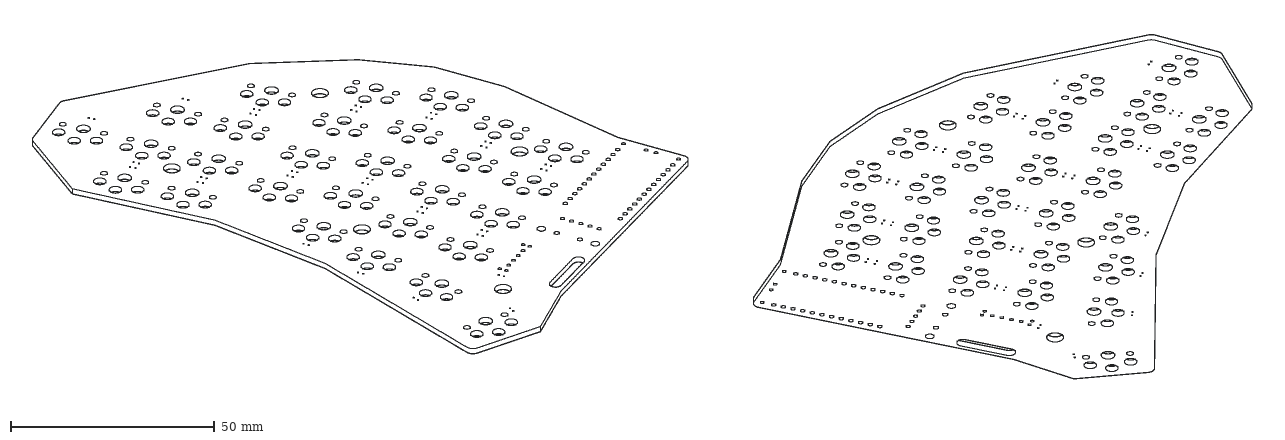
import cadquery as cq
import math

LENGTH = 152.4
THICKNESS = 1.5
CORNER_RADIUS = 2.0
LEFT_ROUNDING_LOSS = 0.08

LEFT_CORNER = (-LENGTH / 2 - LEFT_ROUNDING_LOSS, -0.9)
CONTROLLER_CORNER = (73.2, 47.5)
THUMB_CORNER = (66.1, -56.0)
LOWER_LEFT_CORNER = (-74.5, -19.8)
ROUNDED_CORNERS = [LEFT_CORNER, CONTROLLER_CORNER, THUMB_CORNER, LOWER_LEFT_CORNER]

OUTLINE = [
    LEFT_CORNER,
    (-43.1, 36.0),
    (-20.3, 49.8),
    (-2.1, 55.5),
    (17.4, 55.5),
    (52.9, CONTROLLER_CORNER[1]),
    CONTROLLER_CORNER,
    (CONTROLLER_CORNER[0], -21.6),
    (LENGTH / 2, -38.5),
    THUMB_CORNER,
    (15.9, -37.2),
    (-17.4, -32.0),
    (-55.2, -35.4),
    LOWER_LEFT_CORNER,
]

STEM_DIAMETER = 3.4
CONTACT_DIAMETER = 3.0
SIDE_CONTACT_OFFSET = 5.0
SIDE_CONTACT_DROP = 3.8
CENTER_CONTACT_DROP = 6.0
PEG_DIAMETER = 1.7
PEG_OFFSET = 5.5

CONTACTS = [
    (-SIDE_CONTACT_OFFSET, -SIDE_CONTACT_DROP),
    (SIDE_CONTACT_OFFSET, -SIDE_CONTACT_DROP),
    (0, -CENTER_CONTACT_DROP),
]
PEGS = [(-PEG_OFFSET, 0), (PEG_OFFSET, 0)]

VIA_DIAMETER = 0.3
VIA_SPACING = 1.46
VIA_DROP = 9.5
VIA_RISE = 5.2

COLUMN_PITCH = 18.0
ROW_PITCH = 68.0 / 4

FIRST_COLUMN_X = -10.4
STRAIGHT_COLUMNS = [(40.4, 4), (45.9, 5), (40.4, 5), (37.8, 4)]

TILT = 5.0
TILTED_ORIGIN = (-32.6, 27.5)
TILTED_KEYS = [
    (0, 0, True),
    (0, 1, False),
    (0, 2, True),
    (0, 3, False),
    (1, 1, False),
    (1, 2, True),
    (1, 3, False),
    (2, 2, False),
]

INNER_THUMB = (45.5, -32.2)
INNER_THUMB_ANGLE = -15.0
OUTER_THUMB = (63.1, -42.5)
OUTER_THUMB_ANGLE = 60.0
OUTER_THUMB_VIA_CENTER = (8.2, 1.0)

MOUNT_DIAMETER = 4.1
MOUNTS = [(-21.5, 31.9), (34.5, 30.6), (-37.8, -15.7), (16.6, -19.0), (60.0, -27.5)]

PIN_PITCH = 30.5 / 12

CONTROLLER_DIAMETER = 1.1
CONTROLLER_PINS = 12
CONTROLLER_X = (55.5, 70.7)
CONTROLLER_TOP = 42.5

DISPLAY_DIAMETER = 1.0
DISPLAY_PINS = 5
DISPLAY_START = (58.0, 8.1)

CONNECTOR_DIAMETER = 0.9
CONNECTOR_PINS = 4
CONNECTOR_TOP = (56.2, -9.5)
CONNECTOR_VIA_CENTER = (56.8, -22.1)
LUG_DIAMETER = 0.8
LUG_X = (55.0, 56.8)
LUG_Y = (-7.0, -19.5)

TOP_ROW_DIAMETER = 0.9
TOP_ROW_Y = 45.5
TOP_ROW_X = (CONTROLLER_X[0], 61.7, 64.5, CONTROLLER_X[1])

BUTTON_Y = 1.5
BUTTON_PEG_DIAMETER = 2.1
BUTTON_PEG_X = (55.6, 70.5)
BUTTON_PIN_DIAMETER = 1.3
BUTTON_PIN_X = (59.9, 66.3)

SLOT_WIDTH = 3.0
SLOT_LENGTH = 15.2
SLOT_CENTER = (70.4, -13.3)


def placed(points, center, angle):
    """Turn points about the origin by angle, then move the origin to center."""
    c = math.cos(math.radians(angle))
    s = math.sin(math.radians(angle))
    return [(center[0] + x * c - y * s, center[1] + x * s + y * c) for x, y in points]


def pair_across(x, y):
    """Two vias side by side."""
    return [(x - VIA_SPACING / 2, y), (x + VIA_SPACING / 2, y)]


def pair_upright(x, y):
    """Two vias one above the other."""
    return [(x, y - VIA_SPACING / 2), (x, y + VIA_SPACING / 2)]


def row_of(points_x, y):
    return [(x, y) for x in points_x]


def column_of(x, top, count):
    return [(x, top - i * PIN_PITCH) for i in range(count)]


def key_layout():
    """Centre, angle and vias (in the key's own axes) of every key."""
    below = pair_across(0, -VIA_DROP)
    above = pair_across(0, VIA_RISE)
    keys = []
    for column, (top, count) in enumerate(STRAIGHT_COLUMNS):
        x = FIRST_COLUMN_X + column * COLUMN_PITCH
        for row in range(count):
            vias = below if row % 2 == 0 else above
            keys.append(((x, top - row * ROW_PITCH), 0, vias))
    for left, down, vias_below in TILTED_KEYS:
        step = (-left * COLUMN_PITCH, -down * ROW_PITCH)
        center = placed([step], TILTED_ORIGIN, TILT)[0]
        keys.append((center, TILT, below if vias_below else above))
    keys.append((INNER_THUMB, INNER_THUMB_ANGLE, below))
    keys.append((OUTER_THUMB, OUTER_THUMB_ANGLE, pair_upright(*OUTER_THUMB_VIA_CENTER)))
    return keys


def make_plate():
    plate = cq.Workplane("XY").polyline(OUTLINE).close().extrude(THICKNESS)
    for x, y in ROUNDED_CORNERS:
        corner = cq.selectors.NearestToPointSelector((x, y, THICKNESS / 2))
        plate = plate.edges("|Z").edges(corner).fillet(CORNER_RADIUS)
    return plate


def drill(body, points, diameter):
    """Cut holes right through the plate."""
    return body.cut(cq.Workplane("XY").pushPoints(points).circle(diameter / 2).extrude(THICKNESS))


def drill_keys(body):
    stems, contacts, pegs, vias = [], [], [], []
    for center, angle, own_vias in key_layout():
        stems.append(center)
        contacts += placed(CONTACTS, center, angle)
        pegs += placed(PEGS, center, angle)
        vias += placed(own_vias, center, angle)
    body = drill(body, stems, STEM_DIAMETER)
    body = drill(body, contacts, CONTACT_DIAMETER)
    body = drill(body, pegs, PEG_DIAMETER)
    return drill(body, vias, VIA_DIAMETER)


def drill_controller(body):
    for x in CONTROLLER_X:
        body = drill(body, column_of(x, CONTROLLER_TOP, CONTROLLER_PINS), CONTROLLER_DIAMETER)
    return drill(body, row_of(TOP_ROW_X, TOP_ROW_Y), TOP_ROW_DIAMETER)


def drill_display(body):
    start_x, y = DISPLAY_START
    pins_x = [start_x + i * PIN_PITCH for i in range(DISPLAY_PINS)]
    return drill(body, row_of(pins_x, y), DISPLAY_DIAMETER)


def drill_button(body):
    body = drill(body, row_of(BUTTON_PEG_X, BUTTON_Y), BUTTON_PEG_DIAMETER)
    return drill(body, row_of(BUTTON_PIN_X, BUTTON_Y), BUTTON_PIN_DIAMETER)


def drill_connector(body):
    body = drill(body, column_of(*CONNECTOR_TOP, CONNECTOR_PINS), CONNECTOR_DIAMETER)
    for y in LUG_Y:
        body = drill(body, row_of(LUG_X, y), LUG_DIAMETER)
    return drill(body, pair_across(*CONNECTOR_VIA_CENTER), VIA_DIAMETER)


def cut_slot(body):
    slot = cq.Workplane("XY").center(*SLOT_CENTER).slot2D(SLOT_LENGTH, SLOT_WIDTH, 90)
    return body.cut(slot.extrude(THICKNESS))


board = make_plate()
board = drill_keys(board)
board = drill(board, MOUNTS, MOUNT_DIAMETER)
board = drill_controller(board)
board = drill_display(board)
board = drill_button(board)
board = drill_connector(board)
result = cut_slot(board)